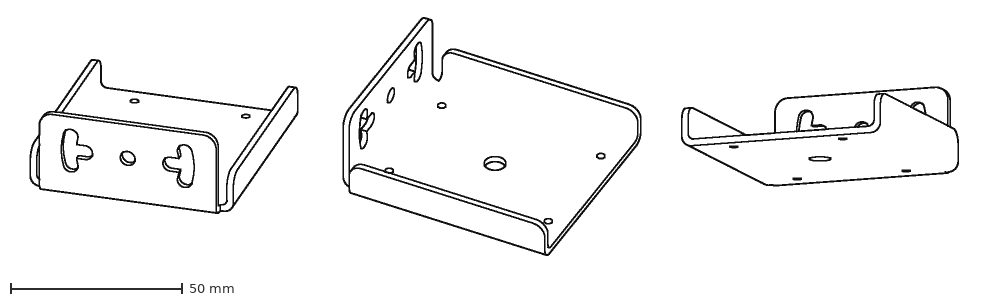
import cadquery as cq
import math

width = 62.0
length = 68.0
height = 26.0
thickness = 2.0
inner_bend = 1.85
outer_bend = 3.0
corner_radius = 4.0

side_height = 12.05
notch = 4.0
front_width = width - 2 * notch
back_y = length / 2
front_y = -length / 2
side_front_y = front_y + notch
side_length = back_y - side_front_y

screw_diameter = 2.4
screw_spacing_x = 34.0
screw_spacing_y = 52.0
base_hole_diameter = 6.3
base_hole_y = side_front_y + side_length / 2

pivot_z = 15.0
pivot_diameter = 4.5
slot_width = 4.5
arc_radius = 18.0
arc_half_angle = math.radians(15)
slot_tip_x = 10.75


def make_channel():
    """Base with two bent side flanges, running along Y."""
    outer = (
        cq.Workplane("XY")
        .box(width, side_length, side_height, centered=(True, False, False))
        .edges("|Y and <Z")
        .fillet(outer_bend)
    )
    cavity = (
        cq.Workplane("XY", origin=(0, 0, thickness))
        .box(width - 2 * thickness, side_length, side_height, centered=(True, False, False))
        .edges("|Y and <Z")
        .fillet(inner_bend)
    )
    channel = outer.cut(cavity).edges("|X and >Z").fillet(corner_radius)
    return channel.translate((0, side_front_y, 0))


def make_front_flange():
    """Bent front flange with the strip that joins it to the base."""
    outer = (
        cq.Workplane("XY")
        .box(front_width, notch, height, centered=(True, False, False))
        .edges("|X and <Y and <Z")
        .fillet(outer_bend)
    )
    cavity = (
        cq.Workplane("XY", origin=(0, thickness, thickness))
        .box(front_width, notch, height, centered=(True, False, False))
        .edges("|X and <Y and <Z")
        .fillet(inner_bend)
    )
    flange = outer.cut(cavity).edges("|Y and >Z").fillet(corner_radius)
    return flange.translate((0, front_y, 0))


def front_sketch():
    """Sketch on the inner face of the front flange, centred on the pivot hole."""
    return cq.Workplane("XZ", origin=(0, front_y + thickness, pivot_z))


def make_slot(side):
    """Arc slot about the pivot plus a straight slot pointing at it."""
    def polar(radius, angle):
        return side * radius * math.cos(angle), radius * math.sin(angle)

    inner = arc_radius - slot_width / 2
    outer = arc_radius + slot_width / 2
    arc = (
        front_sketch()
        .moveTo(*polar(inner, -arc_half_angle))
        .threePointArc(polar(inner, 0), polar(inner, arc_half_angle))
        .lineTo(*polar(outer, arc_half_angle))
        .threePointArc(polar(outer, 0), polar(outer, -arc_half_angle))
        .close()
        .extrude(thickness)
    )
    ends = (
        front_sketch()
        .pushPoints([polar(arc_radius, arc_half_angle), polar(arc_radius, -arc_half_angle)])
        .circle(slot_width / 2)
        .extrude(thickness)
    )
    straight_length = arc_radius - slot_tip_x + slot_width / 2
    straight = (
        front_sketch()
        .center(side * (slot_tip_x + straight_length / 2), 0)
        .slot2D(straight_length, slot_width)
        .extrude(thickness)
    )
    return arc.union(ends).union(straight)


def make_base_holes():
    """Four screw holes around one central hole."""
    screws = (
        cq.Workplane("XY", origin=(0, base_hole_y, 0))
        .rarray(screw_spacing_x, screw_spacing_y, 2, 2)
        .circle(screw_diameter / 2)
        .extrude(thickness)
    )
    centre = (
        cq.Workplane("XY", origin=(0, base_hole_y, 0))
        .circle(base_hole_diameter / 2)
        .extrude(thickness)
    )
    return screws.union(centre)


result = make_channel().union(make_front_flange()).cut(make_base_holes())
result = result.cut(front_sketch().circle(pivot_diameter / 2).extrude(thickness))
for side in (-1, 1):
    result = result.cut(make_slot(side))